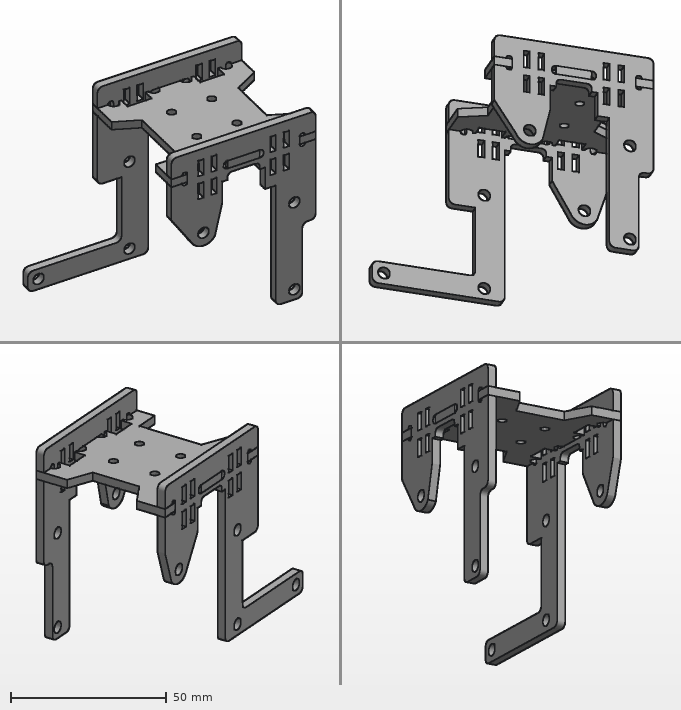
import cadquery as cq


overall_width = 50.0
overall_length = 80.0
overall_height = 71.0
sheet = 3.0
plate_length = 54.0
mid_length = plate_length / 2

deck_bottom = 60.0
deck_top = deck_bottom + sheet
deck_middle = deck_bottom + sheet / 2
end_tab_length = 6.0
mid_tab_length = 12.0
end_slot_relief_diameter = 2.0
tab_relief_diameter = 4.0

recess_depth = 9.0
rear_recess_mouth = (11.0, 38.0)
recess_floor_left = 16.0
rear_recess_floor_right = 34.0
front_recess_mouth_left = 12.0
front_recess_right = 40.0
strap_window_width = 4.0
strap_window_length = 9.0
deck_hole_diameter = 3.0
deck_hole_spacing_x = 16.0
deck_hole_spacing_y = 15.0

pivot_diameter = 4.0
pivot_spacing = 34.0
rear_pivot = 8.0
front_pivot = rear_pivot + pivot_spacing
foot_pivot = front_pivot + pivot_spacing
lower_pivot_height = 4.0
upper_pivot_height = lower_pivot_height + pivot_spacing

corner_radius = 2.0
notch_width = 16.0
notch_step_height = 55.5
notch_top_height = 58.2
notch_top_radius = 1.6
notch_rear = mid_length - notch_width / 2
notch_front = mid_length + notch_width / 2
notch_top_rear = mid_length - mid_tab_length / 2
notch_top_front = mid_length + mid_tab_length / 2
leg_width = 10.0
front_leg_front = notch_front + leg_width
rear_leg_front = rear_pivot + front_pivot - notch_front
rear_leg_rear = rear_leg_front - leg_width
foot_height = 8.0
front_shoulder_height = 33.0
rear_shoulder_height = 29.0

lug_radius = 5.0
lug_arc_rear_reach = 4.3
lug_arc_front_reach = 4.6
lug_shoulder_height = 47.0

left_strap_slot_size = (2.2, 6.2)
right_strap_slot_size = (2.0, 6.0)
strap_slot_offsets = (11.0, 16.0)
strap_slot_heights = (54.8, 63.8)


def side_plane(x):
    """Plane facing -X whose local axes are forward and height."""
    return cq.Plane(origin=(x, 0, 0), xDir=(0, -1, 0), normal=(-1, 0, 0))


def prism(sketch):
    """Extrude a side profile through one sheet thickness towards +X."""
    return sketch.extrude(-sheet)


def block(x, rear, front, bottom, top):
    """Rectangular piece of a side sheet."""
    centre = ((rear + front) / 2, (bottom + top) / 2)
    return prism(cq.Workplane(side_plane(x)).center(*centre).rect(front - rear, top - bottom))


def round_holes(x, centres, diameter):
    return prism(cq.Workplane(side_plane(x)).pushPoints(centres).circle(diameter / 2))


def lug_arc_height(reach):
    """Height of the lug's round end at a given distance in front of or behind the pivot."""
    return upper_pivot_height - (lug_radius**2 - reach**2) ** 0.5


def lug_end(profile, pivot):
    """Continue a profile with the lug's rear sloping side and round end."""
    return profile.lineTo(
        pivot - lug_arc_rear_reach, lug_arc_height(lug_arc_rear_reach)
    ).threePointArc(
        (pivot, upper_pivot_height - lug_radius),
        (pivot + lug_arc_front_reach, lug_arc_height(lug_arc_front_reach)),
    )


def notch_steps(profile):
    """Continue a profile over the stepped top of the notch, from rear to front."""
    return (
        profile.lineTo(notch_rear, notch_step_height)
        .lineTo(notch_top_rear, notch_step_height)
        .lineTo(notch_top_rear, notch_top_height)
        .lineTo(notch_top_front, notch_top_height)
        .lineTo(notch_top_front, notch_step_height)
        .lineTo(notch_front, notch_step_height)
    )


def round_corners(plate, x, corners, radius):
    """Fillet the edges across the sheet at the given (forward, height) corners."""
    for forward, height in corners:
        middle = (x + sheet / 2, -forward, height)
        plate = plate.edges("|X").edges(cq.NearestToPointSelector(middle)).fillet(radius)
    return plate


def deck_joint_cutter(x):
    """Open slots for the end tabs and a closed round-ended slot for the middle tab."""
    cutter = block(x, 0, end_tab_length, deck_bottom, deck_top)
    cutter = cutter.union(block(x, plate_length - end_tab_length, plate_length, deck_bottom, deck_top))
    relief_inset = end_tab_length - end_slot_relief_diameter / 2
    reliefs = [
        (forward, height)
        for forward in (relief_inset, plate_length - relief_inset)
        for height in (deck_bottom, deck_top)
    ]
    cutter = cutter.union(round_holes(x, reliefs, end_slot_relief_diameter))
    mid_slot = cq.Workplane(side_plane(x)).center(mid_length, deck_middle)
    return cutter.union(prism(mid_slot.slot2D(mid_tab_length + sheet, sheet)))


def strap_slot_cutter(x, slot_size):
    centres = [
        (mid_length + side * offset, height)
        for side in (-1, 1)
        for offset in strap_slot_offsets
        for height in strap_slot_heights
    ]
    return prism(cq.Workplane(side_plane(x)).pushPoints(centres).rect(*slot_size))


def finish_plate(plate, x, corners, pivots, slot_size):
    """Round the corners and cut the openings of a side plate."""
    top_corners = [(0, overall_height), (plate_length, overall_height)]
    notch_corners = [(notch_top_rear, notch_top_height), (notch_top_front, notch_top_height)]
    plate = round_corners(plate, x, top_corners + corners, corner_radius)
    plate = round_corners(plate, x, notch_corners, notch_top_radius)
    plate = plate.cut(round_holes(x, pivots, pivot_diameter))
    return plate.cut(deck_joint_cutter(x)).cut(strap_slot_cutter(x, slot_size))


def make_left_plate():
    """Plate with a rear lug and a long front leg ending in a forward foot."""
    x = 0
    profile = cq.Workplane(side_plane(x)).moveTo(0, overall_height).lineTo(0, lug_shoulder_height)
    profile = lug_end(profile, rear_pivot).lineTo(notch_rear, lug_shoulder_height)
    profile = (
        notch_steps(profile)
        .lineTo(notch_front, 0)
        .lineTo(overall_length, 0)
        .lineTo(overall_length, foot_height)
        .lineTo(front_leg_front, foot_height)
        .lineTo(front_leg_front, front_shoulder_height)
        .lineTo(plate_length, front_shoulder_height)
        .lineTo(plate_length, overall_height)
        .close()
    )
    corners = [
        (notch_front, 0),
        (overall_length, 0),
        (overall_length, foot_height),
        (front_leg_front, foot_height),
        (plate_length, front_shoulder_height),
    ]
    pivots = [
        (rear_pivot, upper_pivot_height),
        (front_pivot, upper_pivot_height),
        (front_pivot, lower_pivot_height),
        (foot_pivot, lower_pivot_height),
    ]
    return finish_plate(prism(profile), x, corners, pivots, left_strap_slot_size)


def make_right_plate():
    """Plate with a long rear leg and a front lug."""
    x = overall_width - sheet
    profile = (
        cq.Workplane(side_plane(x))
        .moveTo(0, overall_height)
        .lineTo(0, rear_shoulder_height)
        .lineTo(rear_leg_rear, rear_shoulder_height)
        .lineTo(rear_leg_rear, 0)
        .lineTo(rear_leg_front, 0)
        .lineTo(rear_leg_front, lug_shoulder_height)
        .lineTo(notch_rear, lug_shoulder_height)
    )
    profile = notch_steps(profile).lineTo(notch_front, lug_shoulder_height)
    profile = (
        lug_end(profile, front_pivot)
        .lineTo(plate_length, lug_shoulder_height)
        .lineTo(plate_length, overall_height)
        .close()
    )
    corners = [
        (0, rear_shoulder_height),
        (rear_leg_rear, rear_shoulder_height),
        (rear_leg_rear, 0),
        (rear_leg_front, 0),
    ]
    pivots = [
        (rear_pivot, upper_pivot_height),
        (rear_pivot, lower_pivot_height),
        (front_pivot, upper_pivot_height),
    ]
    return finish_plate(prism(profile), x, corners, pivots, right_strap_slot_size)


def deck_box(x_min, x_max, rear, front):
    """Rectangular piece of the deck sheet."""
    return cq.Workplane("XY").box(x_max - x_min, front - rear, sheet, centered=False).translate(
        (x_min, -front, deck_bottom)
    )


def deck_holes(centres, diameter):
    return (
        cq.Workplane("XY", origin=(0, 0, deck_bottom))
        .pushPoints(centres)
        .circle(diameter / 2)
        .extrude(sheet)
    )


def make_deck():
    """Horizontal sheet with three tabs on each side."""
    front = -plate_length
    outline = [
        (0, 0),
        (rear_recess_mouth[0], 0),
        (recess_floor_left, -recess_depth),
        (rear_recess_floor_right, -recess_depth),
        (rear_recess_mouth[1], 0),
        (overall_width, 0),
        (overall_width, front),
        (front_recess_right, front),
        (front_recess_right, front + recess_depth),
        (recess_floor_left, front + recess_depth),
        (front_recess_mouth_left, front),
        (0, front),
    ]
    deck = cq.Workplane("XY", origin=(0, 0, deck_bottom)).polyline(outline).close().extrude(sheet)

    gaps = (
        (end_tab_length, notch_top_rear),
        (notch_top_front, plate_length - end_tab_length),
    )
    windows = (
        (recess_depth, recess_depth + strap_window_length),
        (plate_length - recess_depth - strap_window_length, plate_length - recess_depth),
    )
    inner_right = overall_width - sheet
    for gap in gaps:
        deck = deck.cut(deck_box(0, sheet, *gap))
        deck = deck.cut(deck_box(inner_right, overall_width, *gap))
    for window in windows:
        deck = deck.cut(deck_box(sheet, sheet + strap_window_width, *window))
        deck = deck.cut(deck_box(inner_right - strap_window_width, inner_right, *window))

    reliefs = [(x, -forward) for x in (sheet, inner_right) for gap in gaps for forward in gap]
    deck = deck.cut(deck_holes(reliefs, tab_relief_diameter))

    mounts = [
        (overall_width / 2 + i * deck_hole_spacing_x / 2, -mid_length + j * deck_hole_spacing_y / 2)
        for i in (-1, 1)
        for j in (-1, 1)
    ]
    return deck.cut(deck_holes(mounts, deck_hole_diameter))


left_plate = make_left_plate()
right_plate = make_right_plate()
deck = make_deck()

result = cq.Compound.makeCompound(
    [left_plate.solids().val(), right_plate.solids().val(), deck.solids().val()]
)